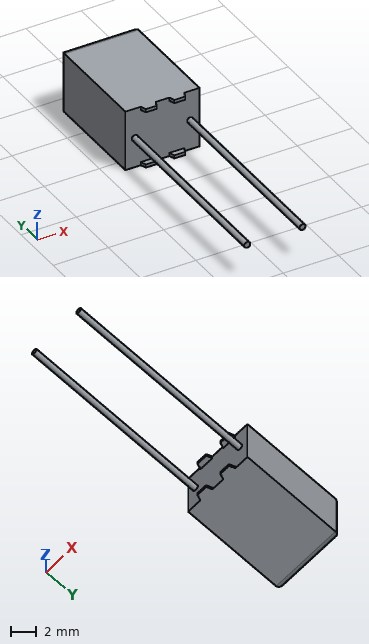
import cadquery as cq


total_length = 27.5
housing_width = 6.7
housing_height = 5.5

housing_length = 10.0
closed_end_radius = 0.5

tab_length = 0.5
tab_thickness = 0.3
tab_root_width = 1.35
tab_tip_width = 1.0
tab_spacing = 2.58

lead_diameter = 0.55
lead_spacing = 5.0
lead_length = total_length - housing_length


def make_tab(center_x, bottom_z):
    """Tapered tab standing out from the lead face toward -Y."""
    return (
        cq.Workplane("XY", origin=(center_x, 0, bottom_z))
        .moveTo(-tab_root_width / 2, 0)
        .lineTo(tab_root_width / 2, 0)
        .lineTo(tab_tip_width / 2, -tab_length)
        .lineTo(-tab_tip_width / 2, -tab_length)
        .close()
        .extrude(tab_thickness)
    )


def make_housing():
    """Box with a rounded rim at its closed +Y end and four tabs flush with its top and bottom."""
    body = (
        cq.Workplane("XY")
        .box(housing_width, housing_length, housing_height, centered=(True, False, True))
        .faces(">Y")
        .edges()
        .fillet(closed_end_radius)
    )
    lower_tab_z = -housing_height / 2
    upper_tab_z = housing_height / 2 - tab_thickness
    for center_x in (-tab_spacing / 2, tab_spacing / 2):
        for bottom_z in (lower_tab_z, upper_tab_z):
            body = body.union(make_tab(center_x, bottom_z))
    return body


def make_lead(center_x):
    """Straight round wire running from the lead face toward -Y."""
    return (
        cq.Workplane("XZ", origin=(center_x, 0, 0))
        .circle(lead_diameter / 2)
        .extrude(lead_length)
    )


housing = make_housing()

leads = []
for lead_x in (-lead_spacing / 2, lead_spacing / 2):
    leads.append(make_lead(lead_x).val())

result = cq.Compound.makeCompound([housing.val(), *leads])